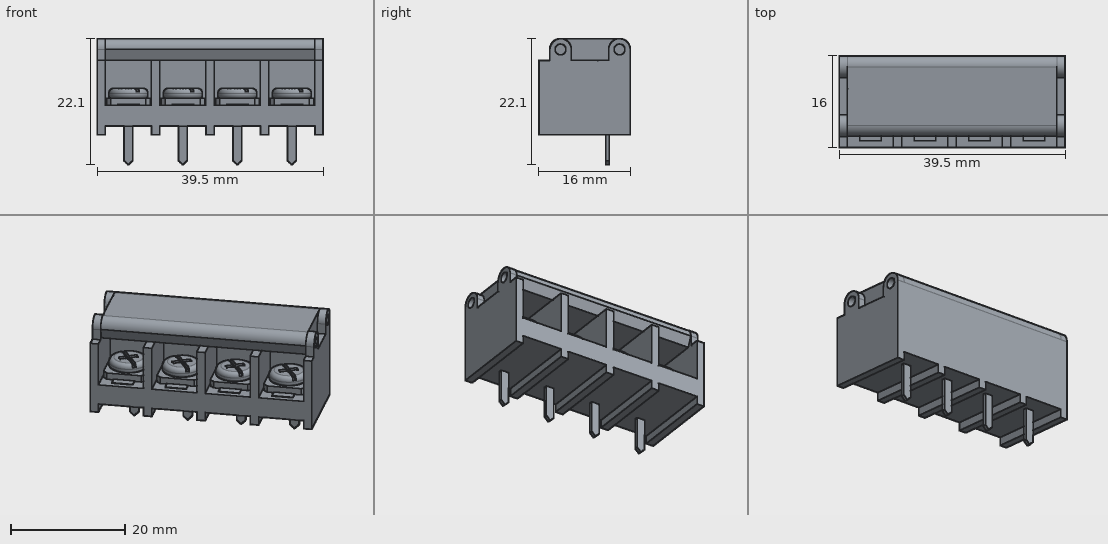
import cadquery as cq

LENGTH = 39.5
DEPTH = 16.0
HOUSING_HEIGHT = 16.83
PIN_DROP = 5.25

BAY_COUNT = 4
PITCH = 9.5
END_WALL = 1.45
BAY_WIDTH = LENGTH - 2 * END_WALL - (BAY_COUNT - 1) * PITCH
BASE_BOTTOM = 1.55
FLOOR_Z = 5.2
BAY_CENTERS = [END_WALL + BAY_WIDTH / 2 + i * PITCH for i in range(BAY_COUNT)]

EAR_RADIUS = 1.9
EAR_HEIGHT = 3.85
EAR_HOLE_DIAMETER = 1.9
WALL_TOP = HOUSING_HEIGHT - EAR_HEIGHT
EAR_FRONT = 1.9
LID_FRONT = 1.98
LID_UNDERCUT = 0.8
EAR_AXIS_Z = HOUSING_HEIGHT - EAR_RADIUS
EAR_AXES_Y = [EAR_FRONT + EAR_RADIUS, DEPTH - EAR_RADIUS]

SCREW_Y = 6.5
PLATE_SIZE = 7.6
PLATE_CHAMFER = 0.75
PLATE_THICKNESS = 1.2
PLATE_TOP = FLOOR_Z + PLATE_THICKNESS
BAY_BACK = SCREW_Y + PLATE_SIZE / 2
STRIP_WIDTH = 3.75
STRIP_FRONT = 1.15
STRIP_THICKNESS = 0.1
HEAD_DIAMETER = 6.85
HEAD_HEIGHT = 1.75
HEAD_TOP_ROUND = 0.85
HEAD_BOTTOM_ROUND = 0.4
SLOT_WIDTH = 0.6
SLOT_DEPTH = 0.65
SLOT_ANGLE = -60.0
CROSS_LENGTH = 3.3
CROSS_WIDTH = 0.85

PIN_WIDTH = 1.58
PIN_THICKNESS = 0.65
PIN_POINT = 0.75
PIN_Y = 12.0


def box(x, y, z):
    """Box spanning the given (low, high) ranges."""
    size = (x[1] - x[0], y[1] - y[0], z[1] - z[0])
    return cq.Workplane("XY").box(*size, centered=False).translate((x[0], y[0], z[0]))


def make_lid():
    """Bar between the end walls, with two rounded top edges and a front that leans back."""
    front = LID_FRONT + EAR_RADIUS
    back = DEPTH - EAR_RADIUS
    quarter = EAR_RADIUS * 0.5 ** 0.5
    return (
        cq.Workplane("YZ", origin=(END_WALL, 0, 0))
        .moveTo(LID_FRONT + LID_UNDERCUT, WALL_TOP)
        .lineTo(LID_FRONT, EAR_AXIS_Z)
        .threePointArc((front - quarter, EAR_AXIS_Z + quarter), (front, HOUSING_HEIGHT))
        .lineTo(back, HOUSING_HEIGHT)
        .threePointArc((back + quarter, EAR_AXIS_Z + quarter), (DEPTH, EAR_AXIS_Z))
        .lineTo(DEPTH, WALL_TOP)
        .close()
        .extrude(LENGTH - 2 * END_WALL)
    )


def make_ear(x, y):
    """Round-topped ear standing on an end wall, before its hole is cut."""
    side = (y - EAR_RADIUS, y + EAR_RADIUS)
    post = box((x, x + END_WALL), side, (WALL_TOP, EAR_AXIS_Z))
    top = cq.Workplane("YZ", origin=(x, 0, 0)).center(y, EAR_AXIS_Z).circle(EAR_RADIUS).extrude(END_WALL)
    return post.union(top)


def make_ear_hole(x, y):
    """Hole as deep as the ear, stopping at the lid."""
    plane = cq.Workplane("YZ", origin=(x, 0, 0))
    return plane.center(y, EAR_AXIS_Z).circle(EAR_HOLE_DIAMETER / 2).extrude(END_WALL)


def make_screw():
    """Rounded screw head standing on z = 0, with a long slot crossed by a short one."""
    head = cq.Workplane("XY").circle(HEAD_DIAMETER / 2).extrude(HEAD_HEIGHT)
    head = head.faces(">Z").edges().fillet(HEAD_TOP_ROUND)
    head = head.faces("<Z").edges().fillet(HEAD_BOTTOM_ROUND)
    slot_plane = cq.Workplane("XY", origin=(0, 0, HEAD_HEIGHT - SLOT_DEPTH))
    long_slot = slot_plane.rect(HEAD_DIAMETER, SLOT_WIDTH).extrude(SLOT_DEPTH)
    cross_slot = slot_plane.rect(CROSS_WIDTH, CROSS_LENGTH).extrude(SLOT_DEPTH)
    return head.cut(long_slot.union(cross_slot).rotate((0, 0, 0), (0, 0, 1), SLOT_ANGLE))


def make_terminal(x):
    """Contact strip, clamp plate and screw of the bay centred on x."""
    half_strip = STRIP_WIDTH / 2
    strip = box(
        (x - half_strip, x + half_strip),
        (STRIP_FRONT, BAY_BACK),
        (FLOOR_Z, FLOOR_Z + STRIP_THICKNESS),
    )
    plate = (
        cq.Workplane("XY", origin=(x, SCREW_Y, FLOOR_Z))
        .rect(PLATE_SIZE, PLATE_SIZE)
        .extrude(PLATE_THICKNESS)
        .edges("|Z")
        .chamfer(PLATE_CHAMFER)
    )
    return strip.union(plate).union(make_screw().translate((x, SCREW_Y, PLATE_TOP)))


def make_pin(x):
    """Flat pin with a pointed tip, hanging from the base."""
    half = PIN_WIDTH / 2
    shoulder = PIN_POINT - PIN_DROP
    return (
        cq.Workplane("XZ", origin=(x, PIN_Y + PIN_THICKNESS / 2, 0))
        .moveTo(-half, BASE_BOTTOM)
        .lineTo(-half, shoulder)
        .lineTo(0, -PIN_DROP)
        .lineTo(half, shoulder)
        .lineTo(half, BASE_BOTTOM)
        .close()
        .extrude(PIN_THICKNESS)
    )


result = box((0, LENGTH), (0, DEPTH), (0, WALL_TOP)).union(make_lid())
for ear_x in (0, LENGTH - END_WALL):
    for ear_y in EAR_AXES_Y:
        result = result.union(make_ear(ear_x, ear_y)).cut(make_ear_hole(ear_x, ear_y))

for bay_x in BAY_CENTERS:
    bay_span = (bay_x - BAY_WIDTH / 2, bay_x + BAY_WIDTH / 2)
    result = result.cut(box(bay_span, (0, BAY_BACK), (FLOOR_Z, WALL_TOP)))
    result = result.cut(box(bay_span, (0, DEPTH), (0, BASE_BOTTOM)))
    result = result.union(make_terminal(bay_x)).union(make_pin(bay_x))